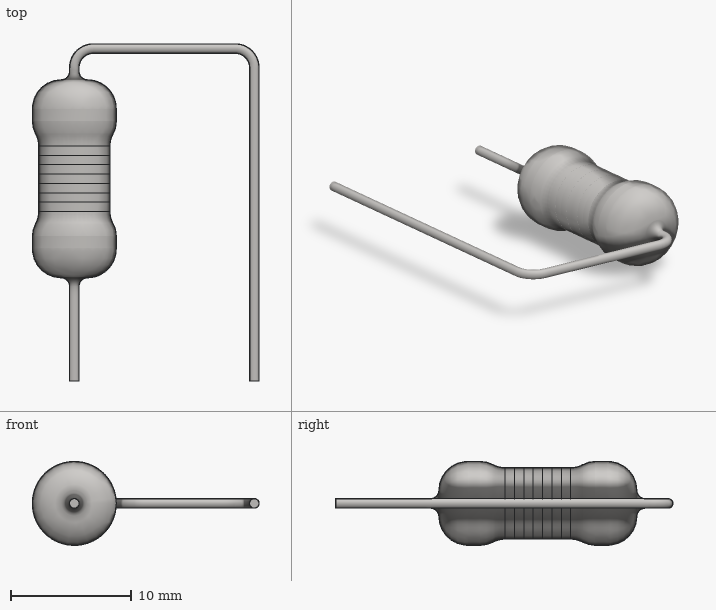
import cadquery as cq
import math

body_length = 16.5
body_center_y = 16.85
cap_radius = 7.0 / 2
waist_radius = 5.95 / 2
cap_flat_length = 1.0

band_count = 4
band_radius = 5.97 / 2
waist_length = 5.46
band_width = waist_length / (2 * band_count - 1)

wire_radius = 0.8 / 2
flare_radius = 0.7
lead_pitch = 15.0
lead_tip_y = 0.0
lead_top_y = 27.7
bend_radius = 1.6

end_round_length = 2.45
flare_foot_radius = wire_radius + flare_radius

ARC_MIDDLE = math.sqrt(0.5)


def body_end():
    """The +Y end of a body centered on the origin: shoulder, cap and flare, revolved about Y."""
    half_body = body_length / 2
    half_waist = waist_length / 2
    cap_outer = half_body - end_round_length
    cap_inner = cap_outer - cap_flat_length
    shoulder_mid = (half_waist + cap_inner) / 2
    shoulder_radius = (waist_radius + cap_radius) / 2
    end_round_mid = (
        flare_foot_radius + (cap_radius - flare_foot_radius) * ARC_MIDDLE,
        cap_outer + end_round_length * ARC_MIDDLE,
    )
    flare_end = half_body + flare_radius
    flare_mid = (
        flare_foot_radius - flare_radius * ARC_MIDDLE,
        flare_end - flare_radius * ARC_MIDDLE,
    )

    return (
        cq.Workplane("XY")
        .moveTo(cap_radius, cap_outer)
        .lineTo(cap_radius, cap_inner)
        .tangentArcPoint((shoulder_radius, shoulder_mid), relative=False)
        .tangentArcPoint((waist_radius, half_waist), relative=False)
        .lineTo(0, half_waist)
        .lineTo(0, flare_end)
        .lineTo(wire_radius, flare_end)
        .threePointArc(flare_mid, (flare_foot_radius, half_body))
        .threePointArc(end_round_mid, (cap_radius, cap_outer))
        .close()
        .revolve(360, (0, 0, 0), (0, 1, 0))
    )


def body():
    """The waist between two mirrored ends, moved to its place along Y."""
    end = body_end()
    waist = cq.Workplane("XZ").circle(waist_radius).extrude(waist_length / 2, both=True)
    return waist.union(end).union(end.mirror("XZ")).translate((0, body_center_y, 0))


def color_band(index):
    """One raised ring; even spacing leaves a gap of one band width to the next."""
    start_y = body_center_y - waist_length / 2 + 2 * index * band_width
    return cq.Workplane("XZ", origin=(0, start_y, 0)).circle(band_radius).extrude(-band_width)


def lead():
    """One round wire along the body axis, bent twice to return parallel to it."""
    bend_inset = bend_radius * (1 - ARC_MIDDLE)
    bend_start_y = lead_top_y - bend_radius
    path = (
        cq.Workplane("XY")
        .moveTo(0, lead_tip_y)
        .lineTo(0, bend_start_y)
        .threePointArc((bend_inset, lead_top_y - bend_inset), (bend_radius, lead_top_y))
        .lineTo(lead_pitch - bend_radius, lead_top_y)
        .threePointArc(
            (lead_pitch - bend_inset, lead_top_y - bend_inset),
            (lead_pitch, bend_start_y),
        )
        .lineTo(lead_pitch, lead_tip_y)
    )
    return cq.Workplane("XZ", origin=(0, lead_tip_y, 0)).circle(wire_radius).sweep(path)


result = body().union(lead())
for band_index in range(band_count):
    result = result.union(color_band(band_index))